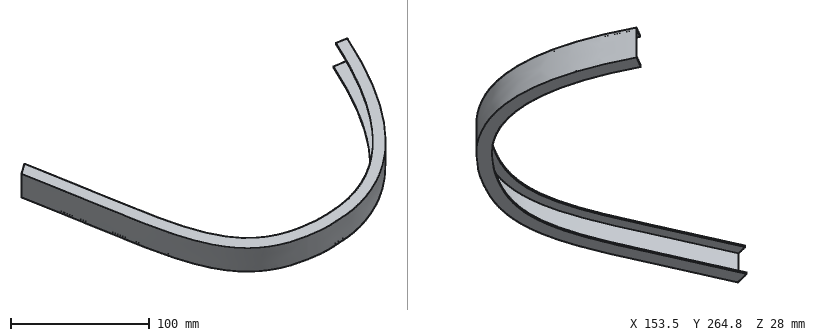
import cadquery as cq
import math

HEIGHT = 28.0
WEB_THICKNESS = 1.0
FLANGE_THICKNESS = 1.5
TOP_FLANGE_WIDTH = 9.25
BOTTOM_FLANGE_WIDTH = 11.25

APEX_X = 146.0
APEX_Y = -107.7
END_X = 1.26
END_Y = -264.77
END_SLOPE = math.radians(36.0)

START_HANDLE = 97.9
APEX_UPPER_HANDLE = 71.3
APEX_LOWER_HANDLE = 66.4
END_FAR_HANDLE = 118.6
END_NEAR_HANDLE = 52.5

END_SKEW = math.radians(13.5)

STATIONS_PER_SPAN = 10


def end_tangent_pole(handle):
    """Point on the end tangent line, back from the lower end by handle."""
    return END_X + handle * math.cos(END_SLOPE), END_Y + handle * math.sin(END_SLOPE)


UPPER_SPAN = [
    (0.0, 0.0),
    (START_HANDLE, 0.0),
    (APEX_X, APEX_Y + APEX_UPPER_HANDLE),
    (APEX_X, APEX_Y),
]
LOWER_SPAN = [
    (APEX_X, APEX_Y),
    (APEX_X, APEX_Y - APEX_LOWER_HANDLE),
    end_tangent_pole(END_FAR_HANDLE),
    end_tangent_pole(END_NEAR_HANDLE),
    (END_X, END_Y),
]


def bezier_point_and_heading(poles, t):
    """Point and unit tangent of a Bezier span at parameter t, by repeated interpolation."""
    while len(poles) > 2:
        poles = [
            (a[0] + t * (b[0] - a[0]), a[1] + t * (b[1] - a[1]))
            for a, b in zip(poles, poles[1:])
        ]
    (x0, y0), (x1, y1) = poles
    dx = x1 - x0
    dy = y1 - y0
    length = math.hypot(dx, dy)
    return (x0 + t * dx, y0 + t * dy), (dx / length, dy / length)


def inset_span(poles, inset, end_overrun=0.0):
    """Spline edge parallel to a Bezier span, moved towards the inside of the bend.

    The last point runs on along the tangent by end_overrun.
    """
    points = []
    headings = []
    for station in range(STATIONS_PER_SPAN + 1):
        (x, y), (dx, dy) = bezier_point_and_heading(poles, station / STATIONS_PER_SPAN)
        overrun = end_overrun if station == STATIONS_PER_SPAN else 0.0
        points.append(cq.Vector(x + inset * dy + overrun * dx, y - inset * dx + overrun * dy))
        headings.append(cq.Vector(dx, dy))
    return cq.Edge.makeSpline(points, tangents=[headings[0], headings[-1]])


def rail_edges(inset):
    """Upper and lower edges of the rail curve at a given inset from the outer face."""
    return [
        inset_span(UPPER_SPAN, inset),
        inset_span(LOWER_SPAN, inset, inset * math.tan(END_SKEW)),
    ]


def rail_strip(outer_inset, inner_inset, base_z, top_z):
    """Solid strip following the rail between two insets and two heights."""
    outer = rail_edges(outer_inset)
    inner = rail_edges(inner_inset)
    start_line = cq.Edge.makeLine(inner[0].startPoint(), outer[0].startPoint())
    end_line = cq.Edge.makeLine(outer[-1].endPoint(), inner[-1].endPoint())
    outline = cq.Wire.assembleEdges([start_line, *outer, end_line, *reversed(inner)])
    strip = cq.Solid.extrudeLinear(outline, [], cq.Vector(0, 0, top_z - base_z))
    return cq.Workplane("XY").add(strip.translate(cq.Vector(0, 0, base_z)))


CUT_CLEARANCE = 1.0
cut_inset = BOTTOM_FLANGE_WIDTH + CUT_CLEARANCE
cavity_top = HEIGHT - FLANGE_THICKNESS

bar = rail_strip(0.0, BOTTOM_FLANGE_WIDTH, 0.0, HEIGHT)
cavity = rail_strip(WEB_THICKNESS, cut_inset, FLANGE_THICKNESS, cavity_top)
top_setback = rail_strip(TOP_FLANGE_WIDTH, cut_inset, cavity_top - CUT_CLEARANCE, HEIGHT + CUT_CLEARANCE)

result = bar.cut(cavity).cut(top_setback)